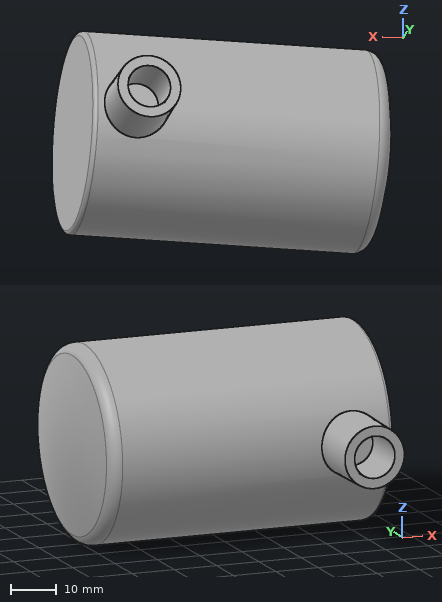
import cadquery as cq
import math

body_length = 70.0
body_diameter = 45.0
crown_radius = 73.35
knuckle_radius = 3.05
rim_radius = 1.0

port_span = 71.2
port_tip_diameter = 14.1
port_root_diameter = 14.5
port_bore_diameter = 9.55
port_to_end = 9.75
port_bore_depth = 13.1

body_radius = body_diameter / 2
port_x = body_length - port_to_end


def make_body():
    """Revolve the half profile: crown arc, tangent knuckle arc, straight side."""
    knuckle_center_r = body_radius - knuckle_radius
    center_gap = crown_radius - knuckle_radius
    knuckle_center_x = crown_radius - math.sqrt(center_gap**2 - knuckle_center_r**2)
    tangent_angle = math.asin(knuckle_center_r / center_gap)

    def crown_point(angle):
        return (
            crown_radius * (1 - math.cos(angle)),
            crown_radius * math.sin(angle),
        )

    knuckle_mid_angle = (tangent_angle + math.pi / 2) / 2
    knuckle_mid = (
        knuckle_center_x - knuckle_radius * math.cos(knuckle_mid_angle),
        knuckle_center_r + knuckle_radius * math.sin(knuckle_mid_angle),
    )
    profile = (
        cq.Workplane("XY")
        .moveTo(0, 0)
        .threePointArc(crown_point(tangent_angle / 2), crown_point(tangent_angle))
        .threePointArc(knuckle_mid, (knuckle_center_x, body_radius))
        .lineTo(body_length, body_radius)
        .lineTo(body_length, 0)
        .close()
    )
    body = profile.revolve(360, (0, 0, 0), (1, 0, 0))
    return body.faces(">X").edges().fillet(rim_radius)


def make_port(side):
    """Tapered stub from the body axis out to the tip on the given Y side (+1 or -1)."""
    direction = cq.Vector(0, side, 0)
    tip_y = port_span / 2
    taper = (port_root_diameter - port_tip_diameter) / 2 / (tip_y - body_radius)
    axis_radius = port_tip_diameter / 2 + taper * tip_y
    return cq.Solid.makeCone(
        axis_radius, port_tip_diameter / 2, tip_y, cq.Vector(port_x, 0, 0), direction
    )


def make_bore(side):
    """Blind bore running inward from the port tip."""
    tip = cq.Vector(port_x, side * port_span / 2, 0)
    return cq.Solid.makeCylinder(
        port_bore_diameter / 2, port_bore_depth, tip, cq.Vector(0, -side, 0)
    )


result = make_body()
for side in (-1, 1):
    result = result.union(make_port(side)).cut(make_bore(side))